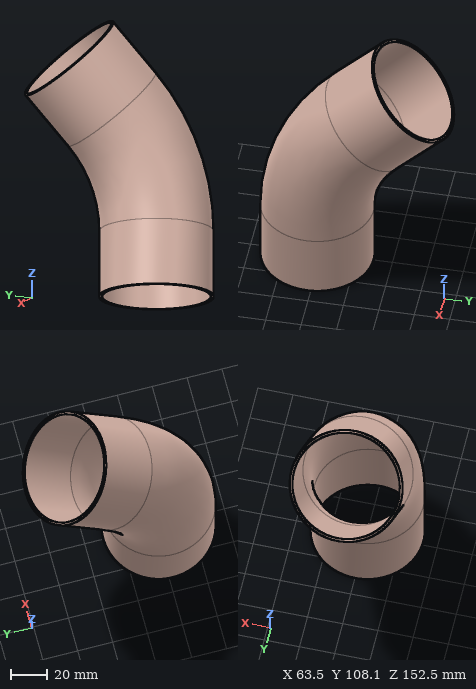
import cadquery as cq
import math

overall_height = 152.5
outer_diameter = 63.5
bore_diameter = 60.2
straight_length = 37.0
bend_angle = math.radians(45)

outer_bend_radius = (overall_height - straight_length) / math.sin(bend_angle) - straight_length
bend_radius = outer_bend_radius - outer_diameter / 2


def bend_point(angle):
    """Point (Y, Z) on the centreline after turning through the given angle."""
    return (
        bend_radius * (1 - math.cos(angle)),
        straight_length + bend_radius * math.sin(angle),
    )


bend_end = bend_point(bend_angle)
tilted_end = (
    bend_end[0] + straight_length * math.sin(bend_angle),
    bend_end[1] + straight_length * math.cos(bend_angle),
)
centreline = (
    cq.Workplane("YZ")
    .lineTo(0, straight_length)
    .threePointArc(bend_point(bend_angle / 2), bend_end)
    .lineTo(*tilted_end)
)

result = (
    cq.Workplane("XY")
    .circle(outer_diameter / 2)
    .circle(bore_diameter / 2)
    .sweep(centreline)
)